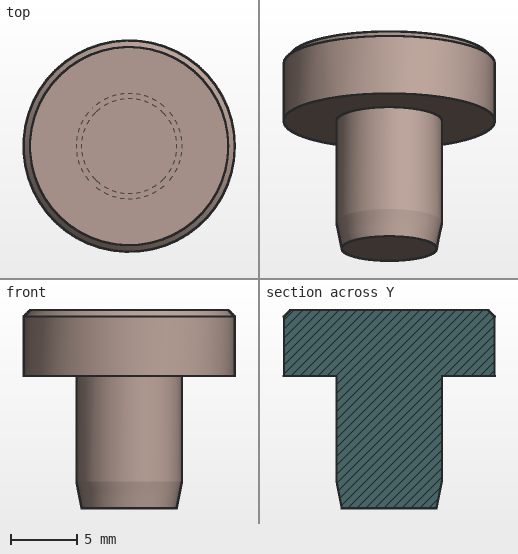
import cadquery as cq

total_height = 15.0

head_radius = 8.0
head_height = 5.0
head_chamfer = 0.5

shank_radius = 4.0
tip_height = 2.0
tip_end_radius = 3.6

head_bottom = total_height - head_height

half_section = (
    cq.Workplane("XZ")
    .lineTo(tip_end_radius, 0)
    .lineTo(shank_radius, tip_height)
    .lineTo(shank_radius, head_bottom)
    .lineTo(head_radius, head_bottom)
    .lineTo(head_radius, total_height - head_chamfer)
    .lineTo(head_radius - head_chamfer, total_height)
    .lineTo(0, total_height)
    .close()
)

result = half_section.revolve(360, (0, 0, 0), (0, 1, 0))